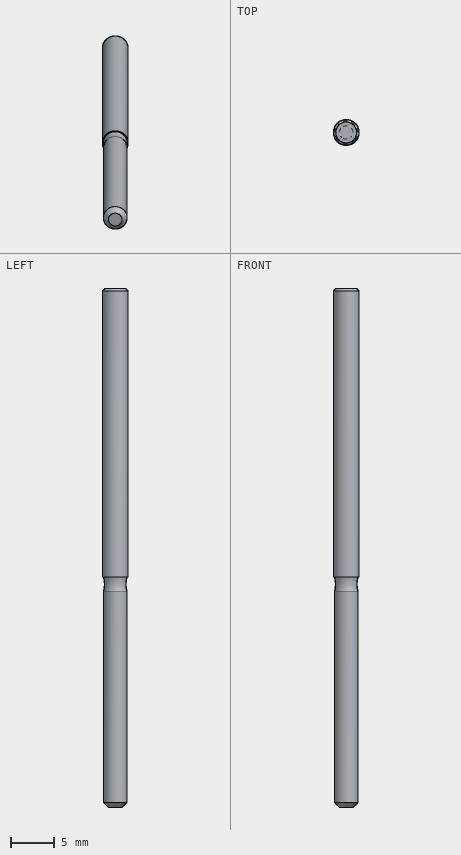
import cadquery as cq

total_length = 60.0
shank_diameter = 3.0
pin_diameter = 2.75
waist_diameter = 2.5
tip_diameter = 1.55

shoulder_height = 26.65
waist_length = 1.7
shank_chamfer = 0.3

shank_radius = shank_diameter / 2
pin_radius = pin_diameter / 2
waist_radius = waist_diameter / 2
tip_radius = tip_diameter / 2
tip_chamfer = pin_radius - tip_radius
waist_start = shoulder_height - waist_length
waist_middle = shoulder_height - waist_length / 2


def make_shank():
    """Upper rod with a chamfered top edge and a flat lower face."""
    return (
        cq.Workplane("XY", origin=(0, 0, shoulder_height))
        .circle(shank_radius)
        .extrude(total_length - shoulder_height)
        .faces(">Z")
        .chamfer(shank_chamfer)
    )


def make_pin():
    """Lower rod with a chamfered tip and a hollow-curved waist below the shank."""
    return (
        cq.Workplane("XZ")
        .lineTo(tip_radius, 0)
        .lineTo(pin_radius, tip_chamfer)
        .lineTo(pin_radius, waist_start)
        .threePointArc((waist_radius, waist_middle), (pin_radius, shoulder_height))
        .lineTo(0, shoulder_height)
        .close()
        .revolve(360, (0, 0), (0, 1))
    )


shank = make_shank()
pin = make_pin()

result = cq.Compound.makeCompound([shank.val(), pin.val()])